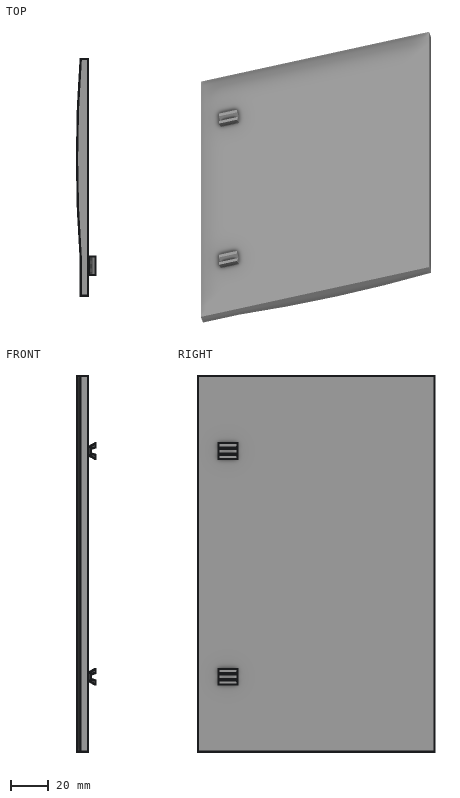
import cadquery as cq

panel_width = 126.0
panel_height = 200.0
panel_thickness = 4.0
crown_rise = 2.0
flat_margin = 20.0

clip_depth = 4.0
clip_width = 10.0
clip_center_y = -47.0
clip_inset_z = 40.0
clip_base_half_height = 2.25
clip_base_depth = 0.5
clip_mouth_half_height = 4.25
clip_floor_thickness = 1.5
clip_floor_half_height = 1.25
arm_tip_height = 2.25


def make_panel():
    """Extrude the panel's crowned cross-section along Z."""
    low_y = -panel_width / 2
    high_y = panel_width / 2
    crown_start_y = low_y + flat_margin
    crown_middle = (-panel_thickness - crown_rise, (crown_start_y + high_y) / 2)
    return (
        cq.Workplane("XY")
        .workplane(offset=-panel_height / 2)
        .moveTo(0, low_y)
        .lineTo(-panel_thickness, low_y)
        .lineTo(-panel_thickness, crown_start_y)
        .threePointArc(crown_middle, (-panel_thickness, high_y))
        .lineTo(0, high_y)
        .close()
        .extrude(panel_height)
    )


def make_clip(center_z):
    """Extrude one clip: a short base with two arms that spread apart."""
    upper_half = [
        (0, clip_base_half_height),
        (clip_base_depth, clip_base_half_height),
        (clip_depth, clip_mouth_half_height),
        (clip_depth, clip_mouth_half_height - arm_tip_height),
        (clip_floor_thickness, clip_floor_half_height),
    ]
    lower_half = [(x, -z) for x, z in reversed(upper_half)]
    return (
        cq.Workplane("XZ")
        .polyline(upper_half + lower_half)
        .close()
        .extrude(clip_width / 2, both=True)
        .translate((0, clip_center_y, center_z))
    )


result = make_panel()
clip_offset_z = panel_height / 2 - clip_inset_z
for side in (-1, 1):
    result = result.union(make_clip(side * clip_offset_z))